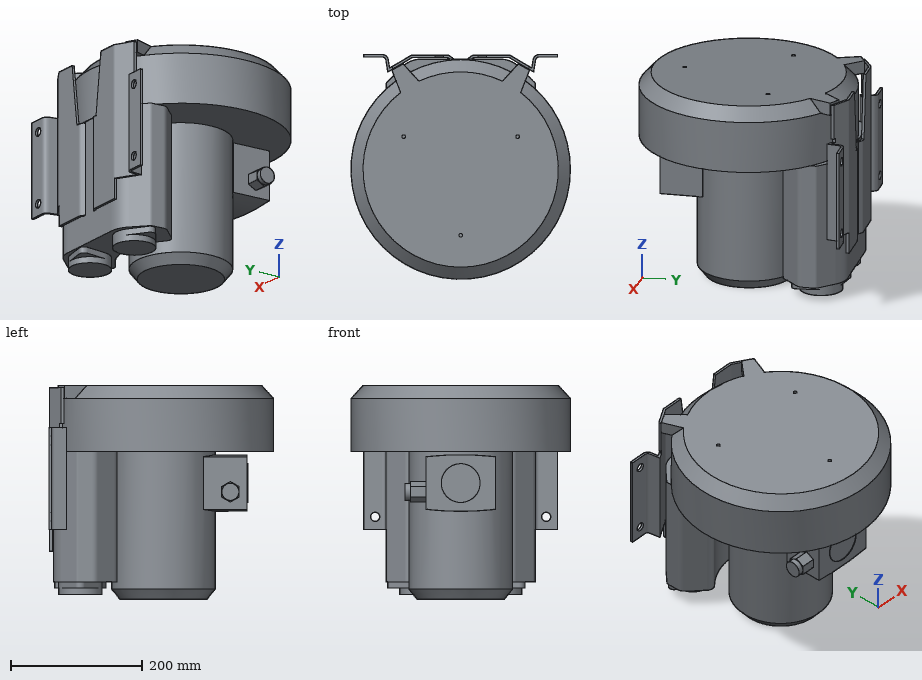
import cadquery as cq
import math


COVER_RADIUS = 167.0
COVER_BOTTOM = 224.5
COVER_TOP = 325.4
COVER_CHAMFER_HEIGHT = 20.0
COVER_CHAMFER_WIDTH = 18.5
COVER_HOLE_DIAMETER = 5.5
COVER_HOLE_DEPTH = 10.0
COVER_HOLE_CIRCLE_RADIUS = 100.0
COVER_HOLE_ANGLES = (30, 150, 270)

EAR_POINTS = [(-91.6, 117.8), (-104.8, 151.2), (-87.6, 160.7), (-63.7, 134.5)]
EAR_THICKNESS = COVER_CHAMFER_HEIGHT

MOTOR_RADIUS = 79.0
MOTOR_Y = 0.7
MOTOR_CHAMFER_HEIGHT = 15.6
MOTOR_CHAMFER_WIDTH = 12.6

BOX_HALF_WIDTH = 53.0
BOX_FRONT_Y = -126.5
BOX_BACK_Y = -60.0
BOX_CENTER_Z = 176.8
BOX_SIDE_HALF_HEIGHT = 40.0
BOX_MIDDLE_HALF_HEIGHT = 43.0
BOX_DISC_DIAMETER = 59.0
BOX_DISC_HEIGHT = 1.0
GLAND_Y = -101.0
GLAND_Z = 163.5
GLAND_HEX_FLATS = 27.0
GLAND_HEX_LENGTH = 23.0
GLAND_CAP_DIAMETER = 26.0
GLAND_CAP_LENGTH = 8.5

PORT_X = 60.0
PORT_Y = 127.0
HOUSING_BOTTOM = 26.6
HOUSING_HALF_WIDTH = 113.5
HOUSING_BACK_RADIUS = 41.0
SCOOP_RADIUS = 101.0
HOUSING_LOBE_RADIUS = 12.0
HOUSING_LOBE_Y = 83.5
HOUSING_BACK_EDGE_RADIUS = 5.0

FLANGE_BOTTOM = 17.0
FLANGE_EAR_RADIUS = 8.3
FLANGE_EAR_OFFSET = 42.7
FLANGE_HUB_RADIUS = 33.0
STUB_BOTTOM = 7.2
LEFT_FLANGE_ANGLE = 0
RIGHT_FLANGE_ANGLE = -46

SHEET_THICKNESS = 4.0
FOOT_BEND_RADIUS = 7.5
SHEET_BEND_RADIUS = 5.0
FOOT_END_X = -147.5
FOOT_Y = 175.0 - SHEET_THICKNESS / 2
PANEL_Y = FOOT_Y - 1.0
SHEET_CENTERLINE = [
    (FOOT_END_X, FOOT_Y),
    (-113.0, FOOT_Y),
    (-109.5, 151.2),
    (-74.3, PANEL_Y),
    (-19.0, PANEL_Y),
    (-12.0, 167.0),
]
TRIM_DEPTH = 50.0
FOOT_BOTTOM = 106.0
FOOT_TOP = 261.0
PANEL_BOTTOM = 73.0
PANEL_TOP = 322.0
PANEL_OUTER_X = -104.0
PANEL_INNER_X = -39.0
PANEL_SLOPE_END_X = -26.0
INNER_TAB_TOP = 222.0
PANEL_LOWER_OUTER_X = -75.0
INNER_TAB_X = -5.0
RELIEF_DEPTH = 3.0
RELIEF_HEIGHT = 6.0
FOOT_HOLE_DIAMETER = 13.5
FOOT_HOLE_X = -130.0
FOOT_HOLE_EDGE_DISTANCE = 19.5


def with_mirror(shape):
    """Return the shape together with its mirror image across the YZ plane."""
    return shape.union(shape.mirror("YZ"))


def upright_cylinder(radius, bottom, top):
    return cq.Workplane("XY").workplane(offset=bottom).circle(radius).extrude(top - bottom)


def make_cover():
    cover = upright_cylinder(COVER_RADIUS, COVER_BOTTOM, COVER_TOP)
    cover = cover.faces(">Z").chamfer(COVER_CHAMFER_HEIGHT, COVER_CHAMFER_WIDTH)
    ear = (
        cq.Workplane("XY")
        .workplane(offset=COVER_TOP - EAR_THICKNESS)
        .polyline([(0, 0)] + EAR_POINTS)
        .close()
        .extrude(EAR_THICKNESS)
    )
    hole_centers = [
        (
            COVER_HOLE_CIRCLE_RADIUS * math.cos(math.radians(angle)),
            COVER_HOLE_CIRCLE_RADIUS * math.sin(math.radians(angle)),
        )
        for angle in COVER_HOLE_ANGLES
    ]
    holes = (
        cq.Workplane("XY")
        .workplane(offset=COVER_TOP - COVER_HOLE_DEPTH)
        .pushPoints(hole_centers)
        .circle(COVER_HOLE_DIAMETER / 2)
        .extrude(COVER_HOLE_DEPTH)
    )
    return cover.union(with_mirror(ear)).cut(holes)


def make_motor():
    motor = upright_cylinder(MOTOR_RADIUS, 0, COVER_BOTTOM)
    motor = motor.faces("<Z").chamfer(MOTOR_CHAMFER_HEIGHT, MOTOR_CHAMFER_WIDTH)
    return motor.translate((0, MOTOR_Y, 0))


def make_terminal_box():
    """Box with bulged top and bottom, and a shallow disc on its front."""
    box = (
        cq.Workplane("XZ", origin=(0, BOX_BACK_Y, BOX_CENTER_Z))
        .moveTo(-BOX_HALF_WIDTH, -BOX_SIDE_HALF_HEIGHT)
        .threePointArc((0, -BOX_MIDDLE_HALF_HEIGHT), (BOX_HALF_WIDTH, -BOX_SIDE_HALF_HEIGHT))
        .lineTo(BOX_HALF_WIDTH, BOX_SIDE_HALF_HEIGHT)
        .threePointArc((0, BOX_MIDDLE_HALF_HEIGHT), (-BOX_HALF_WIDTH, BOX_SIDE_HALF_HEIGHT))
        .close()
        .extrude(BOX_BACK_Y - BOX_FRONT_Y)
    )
    disc = (
        cq.Workplane("XZ", origin=(0, BOX_FRONT_Y, BOX_CENTER_Z))
        .circle(BOX_DISC_DIAMETER / 2)
        .extrude(BOX_DISC_HEIGHT)
    )
    return box.union(disc)


def make_gland():
    """Hexagon and round cap on the left side of the terminal box."""
    hex_corner_diameter = GLAND_HEX_FLATS / math.cos(math.radians(30))
    hexagon = (
        cq.Workplane("YZ", origin=(-BOX_HALF_WIDTH, GLAND_Y, GLAND_Z))
        .transformed(rotate=(0, 0, 90))
        .polygon(6, hex_corner_diameter)
        .extrude(-GLAND_HEX_LENGTH)
    )
    cap = (
        cq.Workplane("YZ", origin=(-BOX_HALF_WIDTH - GLAND_HEX_LENGTH, GLAND_Y, GLAND_Z))
        .circle(GLAND_CAP_DIAMETER / 2)
        .extrude(-GLAND_CAP_LENGTH)
    )
    return hexagon.union(cap)


def make_housing():
    """Housing with round backs over both ports and a scoop around the motor."""
    diagonal = math.sqrt(0.5)
    back_y = PORT_Y + HOUSING_BACK_RADIUS
    back_tangent = (
        -PORT_X - HOUSING_BACK_RADIUS * diagonal,
        PORT_Y + HOUSING_BACK_RADIUS * diagonal,
    )
    half_of_45 = math.radians(45 / 2)
    back_middle = (
        -PORT_X - HOUSING_BACK_RADIUS * math.sin(half_of_45),
        PORT_Y + HOUSING_BACK_RADIUS * math.cos(half_of_45),
    )
    side_back_y = back_tangent[1] - (HOUSING_HALF_WIDTH + back_tangent[0])

    lobe_distance = SCOOP_RADIUS + HOUSING_LOBE_RADIUS
    lobe_x = -math.sqrt(lobe_distance**2 - HOUSING_LOBE_Y**2)
    lobe_y = HOUSING_LOBE_Y
    lobe_start = (lobe_x - HOUSING_LOBE_RADIUS * diagonal, lobe_y - HOUSING_LOBE_RADIUS * diagonal)
    lobe_bottom = (lobe_x, lobe_y - HOUSING_LOBE_RADIUS)
    scoop_ratio = SCOOP_RADIUS / lobe_distance
    scoop_start = (lobe_x * scoop_ratio, lobe_y * scoop_ratio)
    side_front_y = lobe_start[1] + (HOUSING_HALF_WIDTH + lobe_start[0])

    half = (
        cq.Workplane("XY")
        .workplane(offset=HOUSING_BOTTOM)
        .moveTo(0, back_y)
        .lineTo(-PORT_X, back_y)
        .threePointArc(back_middle, back_tangent)
        .lineTo(-HOUSING_HALF_WIDTH, side_back_y)
        .lineTo(-HOUSING_HALF_WIDTH, side_front_y)
        .lineTo(*lobe_start)
        .threePointArc(lobe_bottom, scoop_start)
        .radiusArc((0, SCOOP_RADIUS), SCOOP_RADIUS)
        .close()
        .extrude(COVER_BOTTOM - HOUSING_BOTTOM)
    )
    half = half.faces("<X").edges("|Z").edges("<Y").fillet(HOUSING_LOBE_RADIUS)
    half = half.faces("<X").edges("|Z").edges(">Y").fillet(HOUSING_BACK_EDGE_RADIUS)
    return with_mirror(half)


def make_port(center_x, angle):
    """Two-eared flange, turned by the given angle, with a round stub below it."""
    height = HOUSING_BOTTOM - FLANGE_BOTTOM
    flank_cos = (FLANGE_HUB_RADIUS - FLANGE_EAR_RADIUS) / FLANGE_EAR_OFFSET
    flank_sin = math.sqrt(1 - flank_cos**2)
    hub_point = (FLANGE_HUB_RADIUS * flank_cos, FLANGE_HUB_RADIUS * flank_sin)
    ear_point = (
        FLANGE_EAR_OFFSET + FLANGE_EAR_RADIUS * flank_cos,
        FLANGE_EAR_RADIUS * flank_sin,
    )
    ear_tip = (FLANGE_EAR_OFFSET + FLANGE_EAR_RADIUS, 0)
    flange = (
        cq.Workplane("XY")
        .moveTo(*hub_point)
        .lineTo(*ear_point)
        .threePointArc(ear_tip, (ear_point[0], -ear_point[1]))
        .lineTo(hub_point[0], -hub_point[1])
        .threePointArc((0, -FLANGE_HUB_RADIUS), (-hub_point[0], -hub_point[1]))
        .lineTo(-ear_point[0], -ear_point[1])
        .threePointArc((-ear_tip[0], 0), (-ear_point[0], ear_point[1]))
        .lineTo(-hub_point[0], hub_point[1])
        .threePointArc((0, FLANGE_HUB_RADIUS), hub_point)
        .close()
        .extrude(height)
        .rotate((0, 0, 0), (0, 0, 1), angle)
        .translate((center_x, PORT_Y, FLANGE_BOTTOM))
    )
    stub = upright_cylinder(FLANGE_HUB_RADIUS, STUB_BOTTOM, HOUSING_BOTTOM).translate((center_x, PORT_Y, 0))
    return flange.union(stub)


def make_bracket():
    """Bent sheet trimmed to a low foot, a tall sloped panel and a lower inner tab."""
    centerline = [cq.Vector(x, y, PANEL_BOTTOM) for x, y in SHEET_CENTERLINE]
    path = cq.Wire.makePolygon(centerline)
    foot_bend, *other_bends = path.Vertices()[1:-1]
    path = path.fillet(FOOT_BEND_RADIUS, [foot_bend]).fillet(SHEET_BEND_RADIUS, other_bends)
    panel_height = PANEL_TOP - PANEL_BOTTOM
    sheet = (
        cq.Workplane("YZ", origin=(FOOT_END_X, FOOT_Y, PANEL_BOTTOM + panel_height / 2))
        .rect(SHEET_THICKNESS, panel_height)
        .sweep(cq.Workplane(obj=path).translate((0, 0, panel_height / 2)))
    )
    relief_x = PANEL_OUTER_X + RELIEF_DEPTH
    relief_top = FOOT_TOP + RELIEF_HEIGHT
    outline = (
        cq.Workplane("XZ", origin=(0, FOOT_Y + SHEET_THICKNESS, 0))
        .polyline([
            (FOOT_END_X, FOOT_BOTTOM),
            (PANEL_LOWER_OUTER_X, FOOT_BOTTOM),
            (PANEL_LOWER_OUTER_X, PANEL_BOTTOM),
            (INNER_TAB_X, PANEL_BOTTOM),
            (INNER_TAB_X, INNER_TAB_TOP),
            (PANEL_SLOPE_END_X, INNER_TAB_TOP),
            (PANEL_INNER_X, PANEL_TOP),
            (PANEL_OUTER_X, PANEL_TOP),
            (PANEL_OUTER_X, relief_top),
            (relief_x, relief_top),
            (relief_x, FOOT_TOP),
            (FOOT_END_X, FOOT_TOP),
        ])
        .close()
        .extrude(TRIM_DEPTH)
    )
    holes = (
        cq.Workplane("XZ", origin=(0, FOOT_Y + SHEET_THICKNESS, 0))
        .pushPoints([
            (FOOT_HOLE_X, FOOT_BOTTOM + FOOT_HOLE_EDGE_DISTANCE),
            (FOOT_HOLE_X, FOOT_TOP - FOOT_HOLE_EDGE_DISTANCE),
        ])
        .circle(FOOT_HOLE_DIAMETER / 2)
        .extrude(2 * SHEET_THICKNESS)
    )
    return sheet.intersect(outline).cut(holes)


result = (
    make_cover()
    .union(make_motor())
    .union(make_terminal_box())
    .union(make_gland())
    .union(make_housing())
    .union(make_port(-PORT_X, LEFT_FLANGE_ANGLE))
    .union(make_port(PORT_X, RIGHT_FLANGE_ANGLE))
    .union(with_mirror(make_bracket()))
)